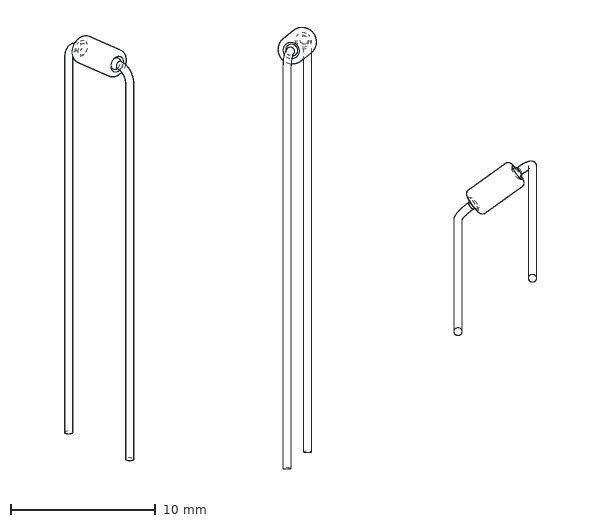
import cadquery as cq

total_height = 30.1
lead_span = 6.98
body_diameter = 2.0
body_length = 3.75
body_edge_radius = 0.27
lead_diameter = 0.57
collar_diameter = 0.85
collar_projection = 0.25
recess_diameter = 1.15
recess_depth = 0.15

body_radius = body_diameter / 2
lead_radius = lead_diameter / 2
body_end = body_length / 2
collar_end = body_end + collar_projection
collar_radius = collar_diameter / 2
recess_radius = recess_diameter / 2
recess_floor = body_end - recess_depth
lead_x = lead_span / 2 - lead_radius
bend_radius = lead_x - collar_end
lead_bottom = body_radius - total_height
arc_diagonal = 0.5 ** 0.5


def make_collar(side):
    """Tapered collar around the lead, rising from the bottom of the end recess."""
    return (
        cq.Workplane("XZ")
        .moveTo(side * recess_floor, 0)
        .lineTo(side * recess_floor, collar_radius)
        .lineTo(side * collar_end, lead_radius)
        .lineTo(side * collar_end, 0)
        .close()
        .revolve(360, (0, 0, 0), (1, 0, 0))
    )


def make_recess(side):
    """Conical recess in one end face, narrowing to the foot of the collar."""
    return (
        cq.Workplane("XZ")
        .moveTo(side * recess_floor, 0)
        .lineTo(side * recess_floor, collar_radius)
        .lineTo(side * body_end, recess_radius)
        .lineTo(side * body_end, 0)
        .close()
        .revolve(360, (0, 0, 0), (1, 0, 0))
    )


def make_body():
    """Cylinder with rounded rims and a recessed, tapered collar at each end."""
    shape = (
        cq.Workplane("YZ", origin=(-body_end, 0, 0))
        .circle(body_radius)
        .extrude(body_length)
        .edges()
        .fillet(body_edge_radius)
    )
    for side in (-1, 1):
        shape = shape.cut(make_recess(side)).union(make_collar(side))
    return shape


def make_lead(side):
    """Round wire bent from the collar down to the bottom; side is -1 (left) or +1 (right)."""
    bend_middle = (
        side * (collar_end + bend_radius * arc_diagonal),
        -bend_radius * (1 - arc_diagonal),
    )
    path = (
        cq.Workplane("XZ")
        .moveTo(side * collar_end, 0)
        .threePointArc(bend_middle, (side * lead_x, -bend_radius))
        .lineTo(side * lead_x, lead_bottom)
    )
    return cq.Workplane("YZ", origin=(side * collar_end, 0, 0)).circle(lead_radius).sweep(path)


body = make_body()
leads = [make_lead(side) for side in (-1, 1)]

result = cq.Compound.makeCompound([body.val(), *[lead.val() for lead in leads]])